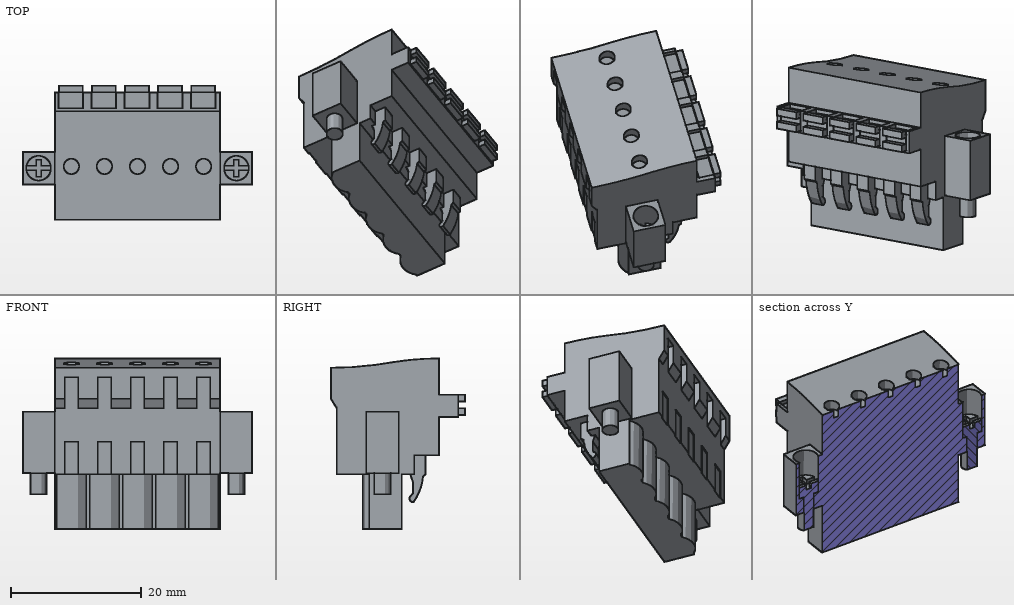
import cadquery as cq
import math


POLES = 5
PITCH = 5.08
BODY_WIDTH = POLES * PITCH
POLE_XS = [(i - (POLES - 1) / 2) * PITCH for i in range(POLES)]

TOP_BACK_Z = 26.24
TOP_FRONT_Z = 24.80
BACK_Y = 16.65
CREST_SPLIT_Y = 9.8
CREST_SPLIT_Z = 25.7
BODY_BOTTOM_Z = 8.38
LOWER_FRONT_Y = 0.87
OVERHANG_TOP_Z = 20.0
OVERHANG_BOTTOM_Z = 18.58
STEP_Y = 12.84
STEP_Z = 11.31

SLOT_WIDTH = 2.1
UPPER_SLOT_TOP_Z = 23.29
LOWER_SLOT_TOP_Z = 13.39
LOWER_SLOT_DEPTH = 0.15

TEST_HOLE_DIAMETER = 2.36
TEST_HOLE_Y = 8.2
TEST_HOLE_FLOOR_Z = 24.0

PLUG_BACK_Y = 10.9
PLUG_FACE_Y = 5.87
PLUG_NOSE_Y = 4.9
PLUG_NOSE_WIDTH = 4.5

SHELF_BACK_Y = 19.6
SHELF_TOP_Z = 20.67
SHELF_BOTTOM_Z = 17.19
POCKET_FRONT_Y = 17.18
POCKET_WIDTH = 3.86
LEVER_WIDTH = 3.7
LEVER_OFFSET_X = -0.08
LEVER_BACK_Y = 20.64
LEVER_BOTTOM_Z = 17.5
LEVER_PLATE_Z = 20.05
PRONG_HEIGHT = 1.09
PRONG_YS = (SHELF_BACK_Y, LEVER_BACK_Y)

HOOK_WIDTH = SLOT_WIDTH
HOOK_BACK_Y = 14.58
HOOK_ROOT_Y = 12.2
HOOK_SHOULDER = (14.18, 8.09)
HOOK_BACK_MIDDLE = (13.75, 6.1)
HOOK_TIP_BACK = (12.73, 4.15)
HOOK_TIP_MIDDLE = (12.17, 4.35)
HOOK_TIP_FRONT = (12.25, 5.08)
HOOK_NECK_BOTTOM = (12.6, 5.46)
HOOK_NECK_TOP = (12.6, 7.2)

SIDES = (-1, 1)
EAR_WIDTH = 4.9
EAR_DEPTH = 5.03
EAR_TOP_Z = 18.06
EAR_BOTTOM_Z = 8.6
SCREW_Y = 7.93
SCREW_INSET = 2.4
SCREW_X = BODY_WIDTH / 2 + EAR_WIDTH - SCREW_INSET
HEAD_DIAMETER = 3.8
HEAD_TOP_Z = 13.5
HEAD_BOTTOM_Z = 11.5
SHANK_DIAMETER = 2.5
SHANK_BOTTOM_Z = 5.31
DRIVE_DEPTH = 0.8
CROSS_SLOT_WIDTH = 0.7
CROSS_BAR_WIDTH = 0.8
CROSS_BAR_LENGTH = 2.67


def box(x_range, y_range, z_range):
    """Axis-aligned block between the given limits."""
    (x0, x1), (y0, y1), (z0, z1) = x_range, y_range, z_range
    return cq.Workplane("XY").box(x1 - x0, y1 - y0, z1 - z0, centered=False).translate((x0, y0, z0))


def centred(x, width):
    """Limits of a span of the given width around x."""
    return (x - width / 2, x + width / 2)


def cylinder(x, y, diameter, z_range):
    """Upright cylinder between two heights."""
    z0, z1 = z_range
    return cq.Workplane("XY", origin=(x, y, z0)).circle(diameter / 2).extrude(z1 - z0)


def side_profile(x, width):
    """Workplane whose outline (y, z) is later extruded by width, centred on x."""
    return cq.Workplane("YZ", origin=(x - width / 2, 0, 0))


def level_arc_middle(level_end, other_end):
    """Middle point of the (y, z) arc that is level at one of its ends."""
    run = other_end[0] - level_end[0]
    rise = other_end[1] - level_end[1]
    radius = (run**2 + rise**2) / (2 * rise)
    half_angle = math.asin(run / radius) / 2
    return (
        level_end[0] + radius * math.sin(half_angle),
        level_end[1] + radius * (1 - math.cos(half_angle)),
    )


def housing_block():
    split = (CREST_SPLIT_Y, CREST_SPLIT_Z)
    rear_edge = (BACK_Y, TOP_BACK_Z)
    front_edge = (0, TOP_FRONT_Z)
    return (
        side_profile(0, BODY_WIDTH)
        .moveTo(LOWER_FRONT_Y, BODY_BOTTOM_Z)
        .lineTo(STEP_Y, BODY_BOTTOM_Z)
        .lineTo(STEP_Y, STEP_Z)
        .lineTo(BACK_Y, STEP_Z)
        .lineTo(BACK_Y, SHELF_BOTTOM_Z)
        .lineTo(SHELF_BACK_Y, SHELF_BOTTOM_Z)
        .lineTo(SHELF_BACK_Y, SHELF_TOP_Z)
        .lineTo(BACK_Y, SHELF_TOP_Z)
        .lineTo(BACK_Y, TOP_BACK_Z)
        .threePointArc(level_arc_middle(rear_edge, split), split)
        .threePointArc(level_arc_middle(front_edge, split), front_edge)
        .lineTo(0, OVERHANG_TOP_Z)
        .lineTo(LOWER_FRONT_Y, OVERHANG_BOTTOM_Z)
        .close()
        .extrude(BODY_WIDTH)
    )


def upper_slot(x):
    """Slot through the overhang, level with the lower front face."""
    return box(centred(x, SLOT_WIDTH), (0, LOWER_FRONT_Y), (OVERHANG_BOTTOM_Z, UPPER_SLOT_TOP_Z))


def lower_slot(x):
    """Shallow recess that runs out at the bottom of the housing."""
    y_range = (LOWER_FRONT_Y, LOWER_FRONT_Y + LOWER_SLOT_DEPTH)
    return box(centred(x, SLOT_WIDTH), y_range, (BODY_BOTTOM_Z, LOWER_SLOT_TOP_Z))


def test_hole(x):
    """Blind hole in the top, above one pole."""
    return cylinder(x, TEST_HOLE_Y, TEST_HOLE_DIAMETER, (TEST_HOLE_FLOOR_Z, TOP_BACK_Z))


def lever_pocket(x):
    """Pocket in the shelf, open at the top and at the back."""
    y_range = (POCKET_FRONT_Y, SHELF_BACK_Y)
    return box(centred(x, POCKET_WIDTH), y_range, (LEVER_BOTTOM_Z, SHELF_TOP_Z))


def plug_rail():
    """Straight rear part shared by all the plug columns."""
    return box(centred(0, BODY_WIDTH), (PLUG_FACE_Y, PLUG_BACK_Y), (0, BODY_BOTTOM_Z))


def plug_nose(x):
    """Rounded front of one plug column."""
    return (
        cq.Workplane("XY")
        .moveTo(x - PLUG_NOSE_WIDTH / 2, PLUG_FACE_Y)
        .threePointArc((x, PLUG_NOSE_Y), (x + PLUG_NOSE_WIDTH / 2, PLUG_FACE_Y))
        .close()
        .extrude(BODY_BOTTOM_Z)
    )


def latch_hook(x):
    """Hook with a curved back and a rounded tip, hanging from the rear step."""
    return (
        side_profile(x, HOOK_WIDTH)
        .moveTo(STEP_Y, STEP_Z)
        .lineTo(HOOK_BACK_Y, STEP_Z)
        .lineTo(HOOK_BACK_Y, BODY_BOTTOM_Z)
        .lineTo(*HOOK_SHOULDER)
        .threePointArc(HOOK_BACK_MIDDLE, HOOK_TIP_BACK)
        .threePointArc(HOOK_TIP_MIDDLE, HOOK_TIP_FRONT)
        .lineTo(*HOOK_NECK_BOTTOM)
        .lineTo(*HOOK_NECK_TOP)
        .lineTo(HOOK_ROOT_Y, BODY_BOTTOM_Z)
        .lineTo(STEP_Y, BODY_BOTTOM_Z)
        .close()
        .extrude(HOOK_WIDTH)
    )


def screw_ear(side):
    """Block beside the housing that holds one screw; side is -1 or 1."""
    x = side * (BODY_WIDTH + EAR_WIDTH) / 2
    return box(centred(x, EAR_WIDTH), centred(SCREW_Y, EAR_DEPTH), (EAR_BOTTOM_Z, EAR_TOP_Z))


def screw_hole(side):
    """Hole for the shank with a counterbore for the head."""
    x = side * SCREW_X
    shank = cylinder(x, SCREW_Y, SHANK_DIAMETER, (EAR_BOTTOM_Z, HEAD_BOTTOM_Z))
    return shank.union(cylinder(x, SCREW_Y, HEAD_DIAMETER, (HEAD_BOTTOM_Z, EAR_TOP_Z)))


def make_housing():
    body = housing_block().union(plug_rail())
    for x in POLE_XS:
        body = body.union(plug_nose(x)).union(latch_hook(x))
        for cutter in (upper_slot(x), lower_slot(x), test_hole(x), lever_pocket(x + LEVER_OFFSET_X)):
            body = body.cut(cutter)
    for side in SIDES:
        body = body.union(screw_ear(side)).cut(screw_hole(side))
    return body


def make_lever(x):
    """Plate in the shelf pocket with two prongs that stick out at the back."""
    width = centred(x, LEVER_WIDTH)
    plate = box(width, (POCKET_FRONT_Y, SHELF_BACK_Y), (LEVER_BOTTOM_Z, LEVER_PLATE_Z))
    upper_prong = box(width, PRONG_YS, (SHELF_TOP_Z - PRONG_HEIGHT, SHELF_TOP_Z))
    lower_prong = box(width, PRONG_YS, (LEVER_BOTTOM_Z, LEVER_BOTTOM_Z + PRONG_HEIGHT))
    return plate.union(upper_prong).union(lower_prong)


def make_screw(side):
    """Cheese-head screw with a cross-shaped drive."""
    x = side * SCREW_X
    head = cylinder(x, SCREW_Y, HEAD_DIAMETER, (HEAD_BOTTOM_Z, HEAD_TOP_Z))
    shank = cylinder(x, SCREW_Y, SHANK_DIAMETER, (SHANK_BOTTOM_Z, HEAD_BOTTOM_Z))
    drive_z = (HEAD_TOP_Z - DRIVE_DEPTH, HEAD_TOP_Z)
    long_slot = box(centred(x, HEAD_DIAMETER), centred(SCREW_Y, CROSS_SLOT_WIDTH), drive_z)
    short_slot = box(centred(x, CROSS_BAR_WIDTH), centred(SCREW_Y, CROSS_BAR_LENGTH), drive_z)
    return head.union(shank).cut(long_slot).cut(short_slot)


housing = make_housing()
levers = [make_lever(x + LEVER_OFFSET_X) for x in POLE_XS]
screws = [make_screw(side) for side in SIDES]

result = cq.Compound.makeCompound([body.val() for body in [housing, *levers, *screws]])